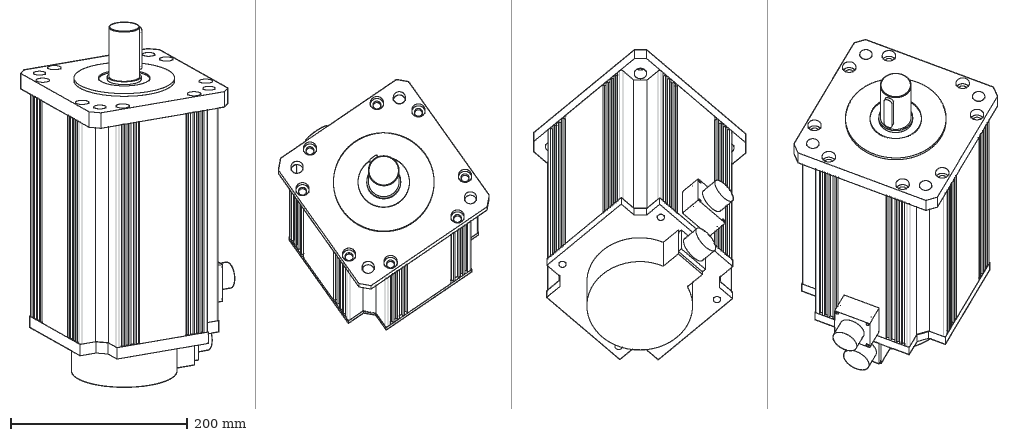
import cadquery as cq
import math

total_height = 411.0
cover_height = 49.5
end_plate_thickness = 13.5
flange_thickness = 18.5
spigot_height = 3.3
shaft_length = 61.2

end_plate_z = cover_height
housing_z = end_plate_z + end_plate_thickness
spigot_top_z = total_height - shaft_length
flange_top_z = spigot_top_z - spigot_height
flange_z = flange_top_z - flange_thickness
housing_length = flange_z - housing_z

frame_width = 180.0
half_frame = frame_width / 2

flange_chamfer = 10.0
spigot_radius = 57.0
seal_recess_radius = 29.0
seal_recess_depth = 1.5
mount_hole_offset = 70.5
mount_hole_diameter = 14.0

screw_circle_radius = 92.5
screw_angle = 30
screw_near = screw_circle_radius * math.sin(math.radians(screw_angle))
screw_far = screw_circle_radius * math.cos(math.radians(screw_angle))
screw_diameter = 9.0
screw_head_diameter = 15.2
screw_head_depth = 10.5
end_screw_near = 45.5
end_screw_far = 78.5
end_screw_diameter = 8.2

plate_notch_inner = 59.0
plate_notch_outer = 69.0

notch_wall = 59.0
stator_radius = 91.5
edge_radius = 2.5
center_land = 30.0

first_groove_outer = 33.5
first_groove_inner_depth = 2.5
first_groove_outer_depth = 4.0

flat_groove_depth = 3.0
flat_grooves = [(36.0, 41.0), (43.5, 47.3), (49.7, 53.5)]

shaft_diameter = 35.0
shaft_chamfer = 1.0
collar_radius = 19.5
collar_height = 1.5
key_width = 10.0
key_length = 50.0
key_height = 8.0
key_top_y = 20.5
key_end_gap = 3.5

cover_radius = 60.0
boss_width = 39.0
boss_face_y = 80.5

encoder_base_size = boss_width
encoder_base_thickness = 5.0
encoder_plug_diameter = 32.0
encoder_plug_length = 19.7
encoder_z = cover_height / 2

power_x = 0.5
power_size = 44.0
power_depth = 25.0
power_z = 93.5
power_plug_diameter = 30.0
power_total_depth = 45.0
power_screw_diameter = 3.3
power_screw_depth = 10.3
power_screw_inset = 3.0


def quarter_turns(points):
    """Repeat points at every quarter turn about the axis."""
    turned = []
    for x, y in points:
        turned += [(x, y), (-y, x), (-x, -y), (y, -x)]
    return turned


def disc(radius, z, height):
    return cq.Workplane("XY").workplane(offset=z).circle(radius).extrude(height)


def holes(points, diameter, z, depth):
    return cq.Workplane("XY").workplane(offset=z).pushPoints(points).circle(diameter / 2).extrude(depth)


def block_toward_y(width, height, start_y, depth, z):
    """Box centred on x = 0 that grows in +Y from start_y."""
    return cq.Workplane("XZ", origin=(0, start_y, z)).rect(width, height).extrude(-depth)


def plug_toward_y(diameter, start_y, length, z):
    """Cylinder along +Y from start_y."""
    return cq.Workplane("XZ", origin=(0, start_y, z)).circle(diameter / 2).extrude(-length)


screws = quarter_turns([(screw_near, screw_far), (-screw_near, screw_far)])


def make_flange():
    flange = (
        cq.Workplane("XY").workplane(offset=flange_z).rect(frame_width, frame_width)
        .extrude(flange_thickness).edges("|Z").chamfer(flange_chamfer)
    )
    flange = flange.union(disc(spigot_radius, flange_top_z, spigot_height))
    flange = flange.cut(disc(seal_recess_radius, spigot_top_z - seal_recess_depth, seal_recess_depth))
    mounts = quarter_turns([(mount_hole_offset, mount_hole_offset)])
    flange = flange.cut(holes(mounts, mount_hole_diameter, flange_z, flange_thickness))
    flange = flange.cut(holes(screws, screw_diameter, flange_z, flange_thickness))
    return flange.cut(holes(screws, screw_head_diameter, flange_top_z - screw_head_depth, screw_head_depth))


def make_groove(inner, outer, inner_depth, outer_depth):
    """Cutter for one groove along the +Y side of the housing, between two X positions."""
    outline = [
        (inner, half_frame), (outer, half_frame),
        (outer, half_frame - outer_depth), (inner, half_frame - inner_depth),
    ]
    return cq.Workplane("XY").workplane(offset=housing_z).polyline(outline).close().extrude(housing_length)


def cut_on_all_sides(body, cutter):
    for angle in (0, 90, 180, 270):
        body = body.cut(cutter.rotate((0, 0, 0), (0, 0, 1), angle))
    return body


def make_housing():
    base = cq.Workplane("XY").workplane(offset=housing_z)
    bar_x = base.rect(frame_width, 2 * notch_wall).extrude(housing_length).edges("|Z").fillet(edge_radius)
    bar_y = base.rect(2 * notch_wall, frame_width).extrude(housing_length).edges("|Z").fillet(edge_radius)
    housing = disc(stator_radius, housing_z, housing_length)
    square = base.rect(frame_width, frame_width).extrude(housing_length)
    housing = housing.intersect(square).union(bar_x).union(bar_y)

    for side in (-1, 1):
        groove = make_groove(
            side * center_land, side * first_groove_outer, first_groove_inner_depth, first_groove_outer_depth
        )
        housing = cut_on_all_sides(housing, groove)
        for inner, outer in flat_grooves:
            groove = make_groove(side * inner, side * outer, flat_groove_depth, flat_groove_depth)
            housing = cut_on_all_sides(housing, groove)
    return housing.cut(holes(screws, screw_diameter, housing_z, housing_length))


def make_end_plate():
    near, far = plate_notch_inner, plate_notch_outer
    corner = [(half_frame, near), (far, near), (near, far), (near, half_frame)]
    outline = []
    for _ in range(4):
        outline += corner
        corner = [(-y, x) for x, y in corner]
    plate = (
        cq.Workplane("XY").workplane(offset=end_plate_z).polyline(outline).close()
        .extrude(end_plate_thickness)
    )
    end_screws = quarter_turns([(end_screw_near, end_screw_far)])
    return plate.cut(holes(end_screws, end_screw_diameter, end_plate_z, end_plate_thickness))


def make_cover():
    boss = cq.Workplane("XY").rect(boss_width, boss_face_y).extrude(cover_height)
    return disc(cover_radius, 0, cover_height).union(boss.translate((0, boss_face_y / 2, 0)))


def make_key():
    key_z = total_height - key_end_gap - key_length / 2
    return (
        cq.Workplane("XZ", origin=(0, key_top_y - key_height, key_z))
        .slot2D(key_length, key_width, 90).extrude(-key_height)
    )


def make_shaft(key):
    base_z = spigot_top_z - seal_recess_depth
    shaft = disc(shaft_diameter / 2, base_z, total_height - base_z).faces(">Z").chamfer(shaft_chamfer)
    collar = disc(collar_radius, base_z, seal_recess_depth + collar_height)
    return shaft.union(collar).cut(key)


def make_encoder_connector():
    base = block_toward_y(encoder_base_size, encoder_base_size, boss_face_y, encoder_base_thickness, encoder_z)
    plug_y = boss_face_y + encoder_base_thickness
    return base.union(plug_toward_y(encoder_plug_diameter, plug_y, encoder_plug_length, encoder_z))


def make_power_connector():
    block = block_toward_y(power_size, power_size, half_frame, power_depth, power_z)
    front_y = half_frame + power_depth
    plug = plug_toward_y(power_plug_diameter, front_y, power_total_depth - power_depth, power_z)
    screw_spacing = power_size - 2 * power_screw_inset
    screw_holes = (
        cq.Workplane("XZ", origin=(0, front_y, power_z))
        .rect(screw_spacing, screw_spacing, forConstruction=True)
        .vertices().circle(power_screw_diameter / 2).extrude(power_screw_depth)
    )
    return block.union(plug).cut(screw_holes).translate((power_x, 0, 0))


flange = make_flange()
housing = make_housing()
end_plate = make_end_plate()
cover = make_cover()
key = make_key()
shaft = make_shaft(key)
encoder_connector = make_encoder_connector()
power_connector = make_power_connector()

result = cq.Compound.makeCompound([
    flange.val(), housing.val(), end_plate.val(), cover.val(),
    shaft.val(), key.val(), encoder_connector.val(), power_connector.val(),
])